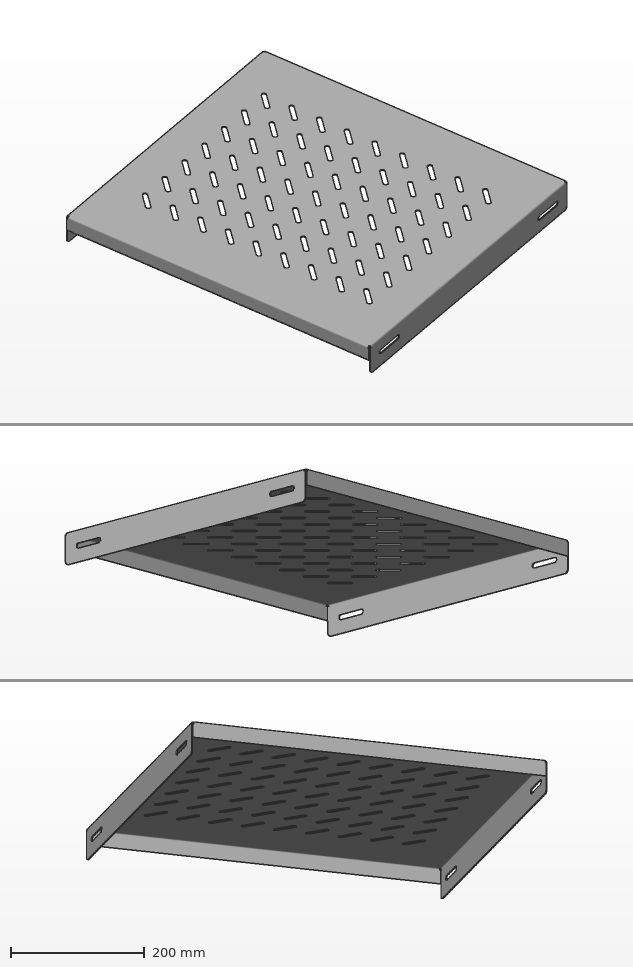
import cadquery as cq

SHELF_WIDTH = 558.8
SHELF_DEPTH = 508.0
SIDE_FLANGE_HEIGHT = 50.8
END_FLANGE_HEIGHT = SIDE_FLANGE_HEIGHT / 2

SHEET_THICKNESS = 1.9
INNER_BEND_RADIUS = 1.7
OUTER_BEND_RADIUS = INNER_BEND_RADIUS + SHEET_THICKNESS

CORNER_CLEARANCE = 0.1
FLANGE_NOTCH = SHEET_THICKNESS + CORNER_CLEARANCE
BEND_NOTCH = OUTER_BEND_RADIUS

SIDE_FLANGE_CORNER_RADIUS = 6.35

SLOT_WIDTH = 7.9375

VENT_COLUMNS = 9
VENT_ROWS = 7
VENT_PITCH = 50.8
VENT_LENGTH = 38.1
VENT_ANGLE = -45.0

MOUNT_SLOT_LENGTH = 50.8
MOUNT_SLOTS_PER_FLANGE = 2
MOUNT_SLOT_SPACING = 406.4
MOUNT_SLOT_Z = SIDE_FLANGE_HEIGHT / 2


def block(width, depth, height):
    """Block centred in X and Y, standing on the lowest level of the shelf."""
    return cq.Workplane("XY").box(width, depth, height, centered=(True, True, False))


def folded_tray():
    """Top sheet with flanges of equal height bent down on all four edges."""
    outside = block(SHELF_WIDTH, SHELF_DEPTH, SIDE_FLANGE_HEIGHT)
    outside = outside.faces(">Z").edges().fillet(OUTER_BEND_RADIUS)
    inside = block(
        SHELF_WIDTH - 2 * SHEET_THICKNESS,
        SHELF_DEPTH - 2 * SHEET_THICKNESS,
        SIDE_FLANGE_HEIGHT - SHEET_THICKNESS,
    )
    inside = inside.faces(">Z").edges().fillet(INNER_BEND_RADIUS)
    return outside.cut(inside)


def corner_notches(size, bottom):
    """Square columns cutting the four corners, from the given level up to the top."""
    return (
        cq.Workplane("XY")
        .workplane(offset=bottom)
        .rect(SHELF_WIDTH, SHELF_DEPTH, forConstruction=True)
        .vertices()
        .rect(2 * size, 2 * size)
        .extrude(SIDE_FLANGE_HEIGHT - bottom)
    )


def end_flange_trim():
    """Block that shortens the end flanges, leaving the side flanges at full height."""
    return block(
        SHELF_WIDTH - 2 * SHEET_THICKNESS,
        SHELF_DEPTH,
        SIDE_FLANGE_HEIGHT - END_FLANGE_HEIGHT,
    )


def vent_slots():
    """Grid of diagonal slots through the top sheet."""
    return (
        cq.Workplane("XY")
        .workplane(offset=SIDE_FLANGE_HEIGHT - SHEET_THICKNESS)
        .rarray(VENT_PITCH, VENT_PITCH, VENT_COLUMNS, VENT_ROWS)
        .slot2D(VENT_LENGTH, SLOT_WIDTH, VENT_ANGLE)
        .extrude(SHEET_THICKNESS)
    )


def mount_slots():
    """Slots through both side flanges."""
    return (
        cq.Workplane("YZ")
        .center(0, MOUNT_SLOT_Z)
        .rarray(MOUNT_SLOT_SPACING, 1, MOUNT_SLOTS_PER_FLANGE, 1)
        .slot2D(MOUNT_SLOT_LENGTH, SLOT_WIDTH)
        .extrude(SHELF_WIDTH / 2, both=True)
    )


shelf = folded_tray()
shelf = shelf.cut(corner_notches(FLANGE_NOTCH, 0))
shelf = shelf.cut(corner_notches(BEND_NOTCH, SIDE_FLANGE_HEIGHT - OUTER_BEND_RADIUS))
shelf = shelf.cut(end_flange_trim())
shelf = shelf.edges("|X and <Z").fillet(SIDE_FLANGE_CORNER_RADIUS)
result = shelf.cut(vent_slots()).cut(mount_slots())